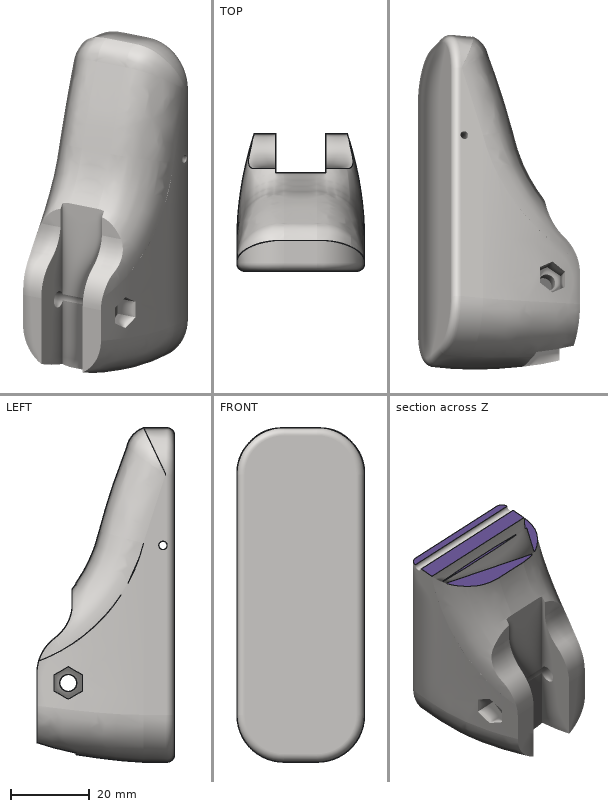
import cadquery as cq
import math

height = 85.0
width = 32.5
depth = 35.0
half_height = height / 2
half_width = width / 2

pad_depth = 7.9
corner_radius = 12.0
front_edge_radius = 2.0
strip_half_width = half_width - corner_radius

back_half_width = 11.8
flank_power = 2.0
bottom_rise = 3.65
bottom_power = 1.4
back_corner_radius = 10.7
rear_stations = 5
overrun = 0.85

flank_top = (2.3, half_height - corner_radius)
wedge_top = (2.4, 30.85)
flank_slope_end = (pad_depth, 13.1)
flank_mid = (17.8, -5.35)
flank_end = (depth + overrun, -17.25)
shoulder_start = (pad_depth, half_height)
shoulder_bulge = (10.6, 40.6)
shoulder_end = (12.2, 37.4)
slope_mid = (16.1, 26.8)
slope_end = (19.2, 16.15)
ridge_mid = (26.1, 1.7)
ridge_end = (depth + overrun, -7.0)
skin_stations = 5
slope_stations = 3

slot_width = 12.6
slot_floor_y = 25.1
lug_shoulder_y = 26.1
lug_shoulder_z = -3.4
lug_inflection = (30.4, -10.9)
lug_crown_end_z = -20.0

pivot_y = 27.0
pivot_z = -22.35
pivot_diameter = 4.25
hex_corner_diameter = 8.25
hex_floor_half_width = 9.35
pin_y = 3.0
pin_z = 12.6
pin_diameter = 2.0


def rear_fraction(y):
    """Zero on the pad, one at the back plane."""
    return max(0, y - pad_depth) / (depth - pad_depth)


def flank_x(y):
    """Half-width of the part at depth y."""
    return half_width - (half_width - back_half_width) * rear_fraction(y) ** flank_power


def extrude_across(outline):
    """Extrude a closed YZ outline over the full width in X."""
    return outline.extrude(width).translate((-half_width, 0, 0))


def points_between(start, end, count):
    """Evenly spaced (Y, Z) points along a straight line."""
    shares = [i / (count - 1) for i in range(count)]
    return [tuple(a + (b - a) * share for a, b in zip(start, end)) for share in shares]


def points_on_arc(start, middle, end, count):
    """Evenly spaced (Y, Z) points along a three-point arc."""
    arc = cq.Edge.makeThreePointArc(*(cq.Vector(0, *point) for point in (start, middle, end)))
    places = [arc.positionAt(i / (count - 1)) for i in range(count)]
    return [(place.y, place.z) for place in places]


def make_pad():
    pad = cq.Workplane("XZ").rect(width, height).extrude(-pad_depth)
    return pad.edges("|Y").fillet(corner_radius).faces("<Y").edges().fillet(front_edge_radius)


def make_rear():
    """Narrowing rear body: U-shaped sections stacked along Y."""
    sections = []
    for i in range(rear_stations):
        y = pad_depth + (depth + overrun - pad_depth) * i / (rear_stations - 1)
        fraction = rear_fraction(y)
        x = flank_x(y)
        bottom = bottom_rise * fraction**bottom_power - half_height
        radius = corner_radius - (corner_radius - back_corner_radius) * fraction
        inset = radius * (1 - math.sqrt(0.5))
        section = (
            cq.Workplane("XZ", origin=(0, y, 0))
            .moveTo(-x, half_height)
            .lineTo(-x, bottom + radius)
            .threePointArc((inset - x, bottom + inset), (radius - x, bottom))
            .lineTo(x - radius, bottom)
            .threePointArc((x - inset, bottom + inset), (x, bottom + radius))
            .lineTo(x, half_height)
            .close()
        )
        sections.append(section.val())
    return cq.Workplane(cq.Solid.makeLoft(sections))


def make_core():
    """Pad and rear body, kept only on the inner side of the flank edges."""
    side = (
        cq.Workplane("YZ")
        .moveTo(0, -half_height)
        .lineTo(depth + overrun, -half_height)
        .lineTo(*flank_end)
        .threePointArc(flank_mid, flank_slope_end)
        .lineTo(*flank_top)
        .lineTo(*wedge_top)
        .lineTo(*shoulder_start)
        .lineTo(0, half_height)
        .close()
    )
    return make_pad().union(make_rear()).intersect(extrude_across(side))


def arch_edges(flank, ridge):
    """Left quarter-ellipse, ridge strip and right quarter-ellipse of one section."""
    x = flank_x(flank[0])
    root = math.sqrt(0.5)

    def place(side_x, share):
        y, z = (f + (r - f) * share for f, r in zip(flank, ridge))
        return cq.Vector(side_x, y, z)

    rise = cq.Vector(0, ridge[0] - flank[0], ridge[1] - flank[1]).normalized()
    bend_x = strip_half_width + (x - strip_half_width) * root
    inward = cq.Vector(1, 0, 0)
    left = cq.Edge.makeSpline(
        [place(-x, 0), place(-bend_x, root), place(-strip_half_width, 1)], tangents=[rise, inward]
    )
    right = cq.Edge.makeSpline(
        [place(strip_half_width, 1), place(bend_x, root), place(x, 0)], tangents=[inward, -rise]
    )
    strip = cq.Edge.makeLine(place(-strip_half_width, 1), place(strip_half_width, 1))
    return [left, strip, right]


def arch_wire(flank, ridge):
    """Closed arch section, with its chord between the two flank edges."""
    left, strip, right = arch_edges(flank, ridge)
    chord = cq.Edge.makeLine(right.endPoint(), left.startPoint())
    return cq.Wire.assembleEdges([left, strip, right, chord])


def loft_arches(flanks, ridges):
    """Smooth solid through the arches over paired flank and ridge points."""
    arches = [arch_wire(flank, ridge) for flank, ridge in zip(flanks, ridges)]
    return cq.Workplane(cq.Solid.makeLoft(arches))


def make_blank():
    shoulder = loft_arches(
        points_between(wedge_top, flank_top, skin_stations),
        points_on_arc(shoulder_start, shoulder_bulge, shoulder_end, skin_stations),
    )
    slope = loft_arches(
        points_between(flank_top, flank_slope_end, slope_stations),
        [shoulder_end, slope_mid, slope_end],
    )
    hollow = loft_arches(
        points_on_arc(flank_slope_end, flank_mid, flank_end, skin_stations),
        points_on_arc(slope_end, ridge_mid, ridge_end, skin_stations),
    )
    return make_core().union(shoulder).union(slope).union(hollow)


def make_lug_envelope():
    """Side outline that trims the back plane and shapes the lug crowns."""
    outline = (
        cq.Workplane("YZ")
        .moveTo(0, -half_height)
        .lineTo(depth, -half_height)
        .lineTo(depth, lug_crown_end_z)
        .tangentArcPoint(lug_inflection, relative=False)
        .tangentArcPoint((lug_shoulder_y, lug_shoulder_z), relative=False)
        .lineTo(lug_shoulder_y, half_height)
        .lineTo(0, half_height)
        .close()
    )
    return extrude_across(outline)


def make_slot():
    slot_depth = depth + overrun - slot_floor_y
    slot = cq.Workplane("XY").box(slot_width, slot_depth, height)
    return slot.translate((0, slot_floor_y + slot_depth / 2, 0))


def make_cross_hole(y, z, diameter):
    return extrude_across(cq.Workplane("YZ").center(y, z).circle(diameter / 2))


def make_hex_recess(side):
    """Hexagonal recess from the flank inwards, on the +1 or -1 side of X."""
    return (
        cq.Workplane("YZ", origin=(side * hex_floor_half_width, pivot_y, pivot_z))
        .transformed(rotate=(0, 0, 90))
        .polygon(6, hex_corner_diameter)
        .extrude(side * half_width)
    )


result = make_blank().intersect(make_lug_envelope()).cut(make_slot())
result = result.cut(make_cross_hole(pivot_y, pivot_z, pivot_diameter))
result = result.cut(make_cross_hole(pin_y, pin_z, pin_diameter))
for side in (-1, 1):
    result = result.cut(make_hex_recess(side))